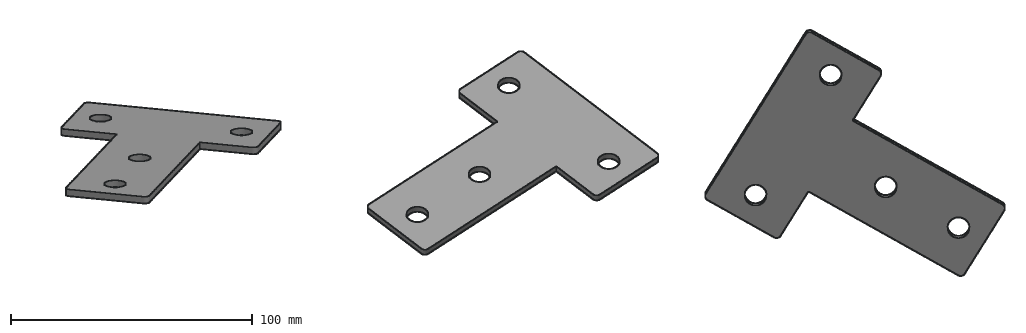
import cadquery as cq

head_width = 85.0
total_length = 110.0
thickness = 3.0
arm_width = 36.0
corner_radius = 2.0

hole_diameter = 9.0
head_hole_spacing = 61.0
stem_hole_spacing = 35.0
stem_hole_end_distance = 12.5

head_top = total_length / 2
head_bottom = head_top - arm_width
stem_foot = -total_length / 2

head_hole_y = head_top - arm_width / 2
outer_stem_hole_y = stem_foot + stem_hole_end_distance
inner_stem_hole_y = outer_stem_hole_y + stem_hole_spacing


def rounded_bar(width, y_low, y_high, rounded_edges):
    """Flat bar centred on X = 0, with the selected upright edges rounded."""
    bar = cq.Workplane("XY").box(width, y_high - y_low, thickness)
    return bar.edges(rounded_edges).fillet(corner_radius).translate((0, (y_low + y_high) / 2, 0))


def tee_plate():
    """Head with four round corners, stem with two at its foot, sharp inner corners."""
    head = rounded_bar(head_width, head_bottom, head_top, "|Z")
    stem = rounded_bar(arm_width, stem_foot, head_hole_y, "|Z and <Y")
    return head.union(stem).clean()


def drill_bolt_holes(plate):
    """Through holes: two in the head, two along the stem."""
    centres = [
        (-head_hole_spacing / 2, head_hole_y),
        (head_hole_spacing / 2, head_hole_y),
        (0, inner_stem_hole_y),
        (0, outer_stem_hole_y),
    ]
    top_face = plate.faces(">Z").workplane(origin=(0, 0, 0))
    return top_face.pushPoints(centres).hole(hole_diameter)


result = drill_bolt_holes(tee_plate())